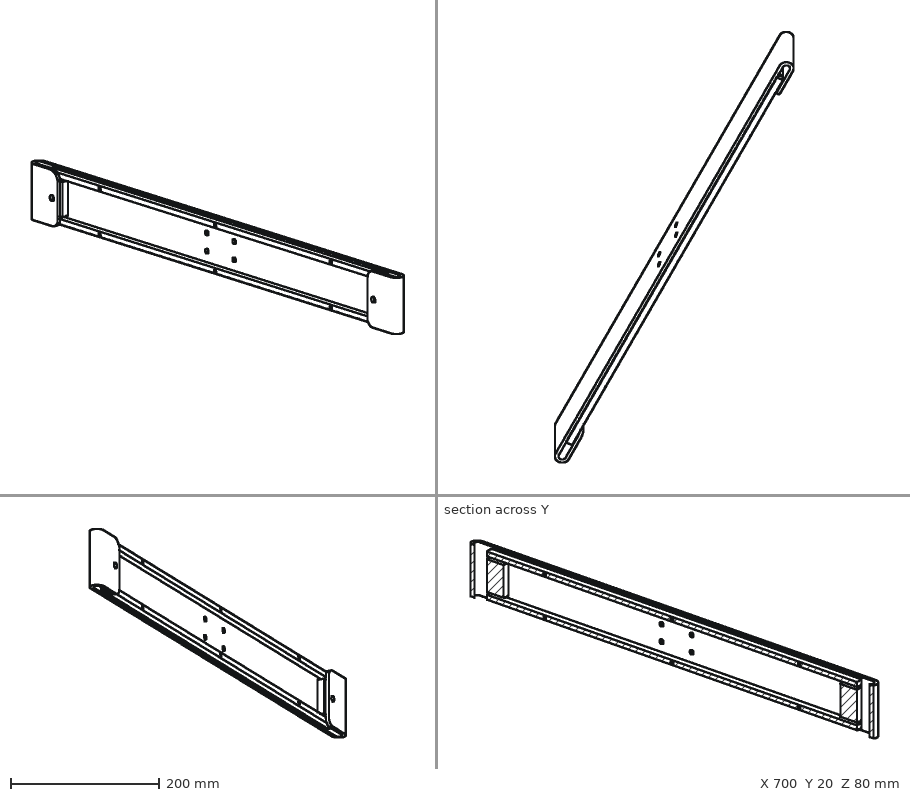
import cadquery as cq

length = 700.0
depth = 20.0
height = 80.0
strip_thickness = 5.0
flap_length = 55.0
flap_corner_radius = 10.0
upper_left_corner_radius = 15.0

rail_length = 640.0
rail_width = 8.0
rail_inset = 3.5
rail_hole_diameter = 4.0
rail_hole_pitch = 220.0

block_height = 50.0
block_inner_x = 290.5
flap_hole_diameter = 8.0
flap_hole_x = 306.0

mount_hole_diameter = 6.5
mount_pitch_x = 52.0
mount_pitch_z = 26.0

cavity_depth = depth - 2 * strip_thickness
front_y = -depth / 2
cavity_front_y = -cavity_depth / 2
rail_z = height / 2 - rail_inset - rail_width / 2


def box(x_size, y_size, z_size, center):
    """Box of the given size around a center point."""
    return cq.Workplane("XY").box(x_size, y_size, z_size).translate(center)


def holes_along_y(points, diameter, start_y, hole_depth):
    """Round cutters at (x, z) points, running from start_y toward +Y."""
    plane = cq.Workplane("XZ", origin=(0, start_y, 0))
    return plane.pushPoints(points).circle(diameter / 2).extrude(-hole_depth)


def folded_strip():
    """Flattened tube with round ends, opened at the front between the flaps."""
    loop = cq.Workplane("XY").slot2D(length, depth).extrude(height / 2, both=True)
    inner_length = length - 2 * strip_thickness
    cavity = cq.Workplane("XY").slot2D(inner_length, cavity_depth).extrude(height / 2, both=True)
    opening_y = (front_y + cavity_front_y) / 2
    opening = box(length - 2 * flap_length, strip_thickness, height, (0, opening_y, 0))
    strip = loop.cut(cavity).cut(opening)
    flap_end = length / 2 - flap_length
    for x in (-flap_end, flap_end):
        for z in (-height / 2, height / 2):
            is_upper_left = x < 0 and z > 0
            radius = upper_left_corner_radius if is_upper_left else flap_corner_radius
            corner = cq.selectors.NearestToPointSelector((x, opening_y, z))
            strip = strip.edges("|Y").edges(corner).fillet(radius)
    return strip


def rails():
    """Upper and lower rail, each with three holes in its front face."""
    lower = box(rail_length, cavity_depth, rail_width, (0, 0, -rail_z))
    upper = box(rail_length, cavity_depth, rail_width, (0, 0, rail_z))
    hole_points = [(x, z) for x in (-rail_hole_pitch, 0, rail_hole_pitch) for z in (-rail_z, rail_z)]
    holes = holes_along_y(hole_points, rail_hole_diameter, cavity_front_y, cavity_depth)
    return lower.union(upper).cut(holes)


def end_blocks():
    """One block behind each flap, flush with the rail ends."""
    block_length = rail_length / 2 - block_inner_x
    center_x = (rail_length / 2 + block_inner_x) / 2
    left = box(block_length, cavity_depth, block_height, (-center_x, 0, 0))
    right = box(block_length, cavity_depth, block_height, (center_x, 0, 0))
    return left.union(right)


result = folded_strip().union(rails()).union(end_blocks())

flap_hole_points = [(-flap_hole_x, 0), (flap_hole_x, 0)]
result = result.cut(holes_along_y(flap_hole_points, flap_hole_diameter, front_y, strip_thickness))

mount_hole_points = [
    (x, z)
    for x in (-mount_pitch_x / 2, mount_pitch_x / 2)
    for z in (-mount_pitch_z / 2, mount_pitch_z / 2)
]
result = result.cut(holes_along_y(mount_hole_points, mount_hole_diameter, front_y, depth))